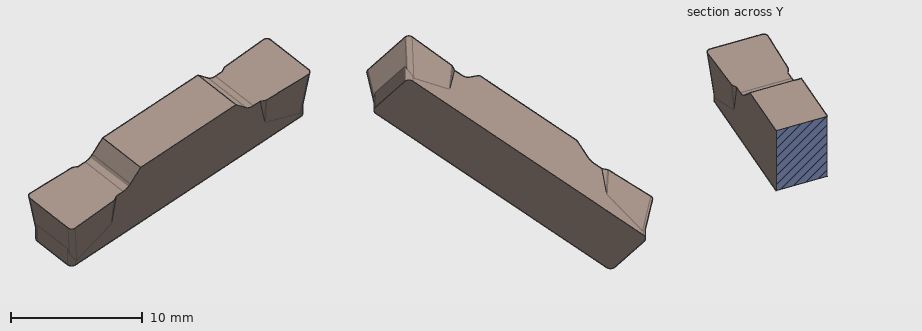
import cadquery as cq
import math

overall_length = 24.85
overall_height = 5.97
head_width = 5.07
table_height = 4.6

body_width = 4.28
body_length = 24.16
body_corner_radius = 0.45
crown_length = 9.85
ramp_angle = 45.0
ramp_foot_radius = 1.05

front_clearance = 7.0
side_clearance = 5.0
back_taper = 2.1
neck_distance = 4.57
neck_angle = 28.0
neck_inner_half = 1.5
head_corner_radius = 0.37
neck_edge_radius = 0.2


def make_body():
    """Bar with rounded upright corners and a raised crown."""
    half_length = body_length / 2
    half_crown = crown_length / 2
    ramp_run = (overall_height - table_height) / math.tan(math.radians(ramp_angle))
    ramp_foot = half_crown + ramp_run
    side_profile = [
        (-half_length, 0),
        (half_length, 0),
        (half_length, table_height),
        (ramp_foot, table_height),
        (half_crown, overall_height),
        (-half_crown, overall_height),
        (-ramp_foot, table_height),
        (-half_length, table_height),
    ]
    body = cq.Workplane("YZ").polyline(side_profile).close().extrude(body_width / 2, both=True)
    body = body.edges("|Z").fillet(body_corner_radius)
    margin = 0.02
    for foot_y in (-ramp_foot, ramp_foot):
        foot_edge = cq.selectors.BoxSelector(
            (-body_width, foot_y - margin, table_height - margin),
            (body_width, foot_y + margin, table_height + margin),
        )
        body = body.edges(foot_edge).fillet(ramp_foot_radius)
    return body


def head_outline(depth):
    """Head section at a depth below the table, with every face moved inwards by its clearance."""
    taper = math.tan(math.radians(back_taper))
    neck_slope = math.tan(math.radians(neck_angle))
    inset = depth * math.tan(math.radians(side_clearance))
    flank_shift = inset / math.cos(math.radians(back_taper))
    neck_shift = inset / math.cos(math.radians(neck_angle))

    edge_y = -overall_length / 2
    flank_start = head_width / 2 - flank_shift
    neck_top_half = head_width / 2 - neck_distance * taper
    neck_start = neck_top_half + neck_distance * neck_slope - neck_shift

    front = depth * math.tan(math.radians(front_clearance))
    neck = (neck_start - flank_start) / (neck_slope - taper)
    back = (neck_start - neck_inner_half) / neck_slope
    right_side = [
        (flank_start - front * taper, edge_y + front),
        (flank_start - neck * taper, edge_y + neck),
        (neck_inner_half, edge_y + back),
    ]
    left_side = [(-x, y) for x, y in reversed(right_side)]
    return right_side + left_side


def make_head():
    """Flared head at the -Y end, tapering down into the body."""
    return (
        cq.Workplane("XY")
        .polyline(head_outline(table_height))
        .close()
        .workplane(offset=table_height)
        .polyline(head_outline(0))
        .close()
        .loft(ruled=True)
    )


def round_head(head):
    """Round the two front corners and the two neck edges."""
    head = head.faces("<Y").edges("not |X").fillet(head_corner_radius)
    neck_y = neck_distance - overall_length / 2
    reach = 0.5
    neck_edges = cq.selectors.BoxSelector(
        (-head_width, neck_y - reach, table_height / 4),
        (head_width, neck_y + reach, table_height * 3 / 4),
    )
    return head.edges(neck_edges).fillet(neck_edge_radius)


head = round_head(make_head())
opposite_head = head.mirror("XZ")
result = make_body().union(head).union(opposite_head).clean()